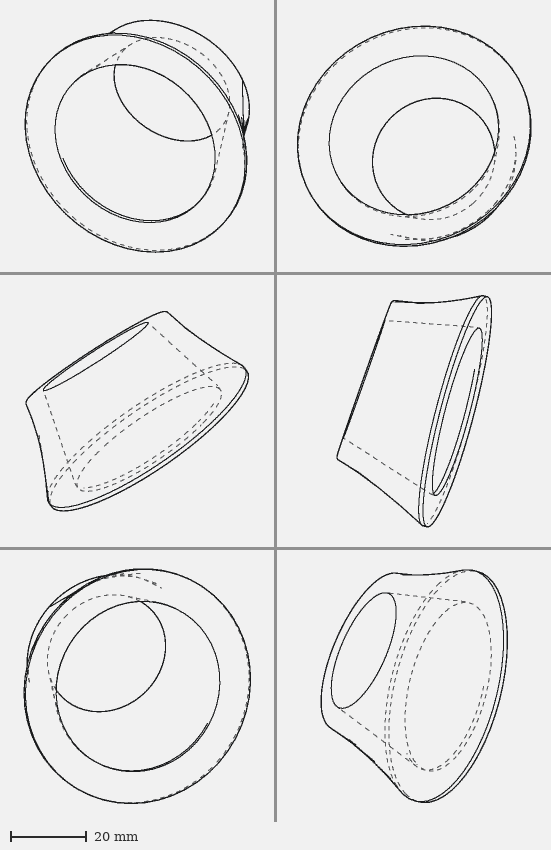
import cadquery as cq
import math

base_diameter = 63.0
base_thickness = 1.2
base_bore_diameter = 45.8

end_diameter = 44.6
end_bore_diameter = 33.0
end_center_y = 25.78
end_center_z = 4.3
end_tilt = 10.0
end_edge_radius = 1.0

panel_count = 3
first_base_seam_angle = -19.0
wall_twist = -33.0


def base_plane(y):
    """Plane at height y above the base, its x axis along +Z and its y axis along +X."""
    return cq.Plane(origin=(0, y, 0), xDir=(0, 0, 1), normal=(0, 1, 0))


def end_plane():
    """Plane of the tilted end face, turned from the base plane's directions by the tilt alone."""
    tilt = math.radians(end_tilt)
    return cq.Plane(
        origin=(0, end_center_y, end_center_z),
        xDir=(0, -math.sin(tilt), math.cos(tilt)),
        normal=(0, math.cos(tilt), math.sin(tilt)),
    )


def circle_arcs(plane, diameter, first_angle):
    """Equal arcs that make up a full circle, one for each wall panel."""
    arc_angle = 360 / panel_count

    def point(angle):
        turn = math.radians(angle)
        return plane.toWorldCoords((diameter / 2 * math.cos(turn), diameter / 2 * math.sin(turn)))

    arcs = []
    for index in range(panel_count):
        start = first_angle + index * arc_angle
        middle = start + arc_angle / 2
        stop = start + arc_angle
        arcs.append(cq.Edge.makeThreePointArc(point(start), point(middle), point(stop)))
    return arcs


def circle_wire(plane, diameter):
    return cq.Workplane(plane).circle(diameter / 2).wire().val()


def make_flange():
    return cq.Workplane(base_plane(0)).circle(base_diameter / 2).extrude(base_thickness)


def make_wall():
    """Solid body between the flange and the end face, with its end edge rounded."""
    base_arcs = circle_arcs(base_plane(base_thickness), base_diameter, first_base_seam_angle)
    end_arcs = circle_arcs(end_plane(), end_diameter, first_base_seam_angle + wall_twist)
    panels = [cq.Face.makeRuledSurface(low, high) for low, high in zip(base_arcs, end_arcs)]
    caps = [cq.Face.makeFromWires(cq.Wire.assembleEdges(arcs)) for arcs in (base_arcs, end_arcs)]
    shell = cq.Shell.makeShell(panels + caps)
    wall = cq.Workplane(cq.Solid.makeSolid(shell).fix())
    return wall.faces(">Y").edges().fillet(end_edge_radius)


def make_flange_bore():
    return cq.Workplane(base_plane(0)).circle(base_bore_diameter / 2).extrude(base_thickness)


def make_wall_bore():
    """Tapered bore from the flange bore to the smaller opening in the end face."""
    base_rim = circle_wire(base_plane(base_thickness), base_bore_diameter)
    end_rim = circle_wire(end_plane(), end_bore_diameter)
    return cq.Workplane(cq.Solid.makeLoft([base_rim, end_rim], ruled=True))


body = make_flange().union(make_wall())
result = body.cut(make_flange_bore()).cut(make_wall_bore())